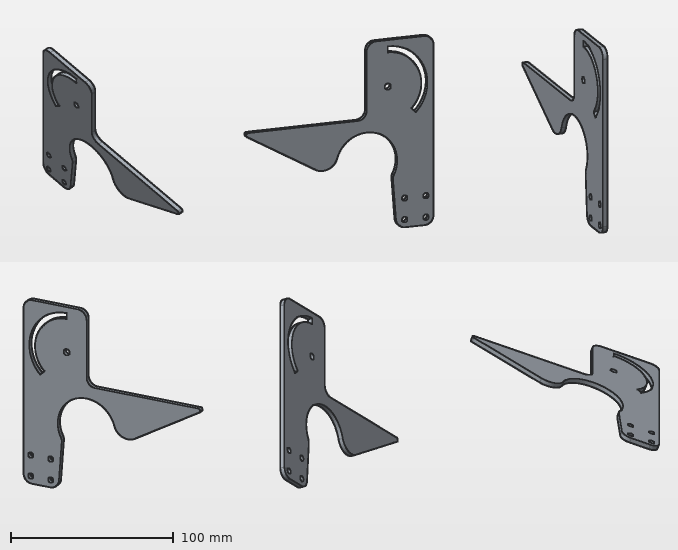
import cadquery as cq
import math

length = 122.9
height = 121.9
thickness = 3.2
corner_radius = 6.0

upright_width = 43.9
foot_width = 24.2
foot_lean = 4.3

arm_top = 71.9
arm_slope = 30.0
tip_radius = 1.5
lobe_radius = 10.0

bite_radius = 20.0
bite_x = upright_width
bite_z = 43.7

pivot_inset = 30.0
pivot_diameter = 4.0
slot_inner_radius = 22.0
slot_outer_radius = 25.9
slot_start = 90.0
slot_end = 225.0

mount_diameter = 3.6
mount_inset = 5.0
mount_pitch = 13.9


def polar(center, radius, degrees):
    """Point at the given radius and angle around a center."""
    angle = math.radians(degrees)
    return (center[0] + radius * math.cos(angle), center[1] + radius * math.sin(angle))


def find_lobe_center(tip_center):
    """Center of the lobe that touches both the bite and the arm's sloping underside."""
    slope = math.radians(arm_slope)
    start = polar(tip_center, lobe_radius - tip_radius, arm_slope + 90)
    dx = start[0] - bite_x
    dz = start[1] - bite_z
    along = dx * math.cos(slope) + dz * math.sin(slope)
    across = dz * math.cos(slope) - dx * math.sin(slope)
    reach = math.sqrt((bite_radius + lobe_radius) ** 2 - across**2)
    return polar(start, reach - along, arm_slope)


def find_foot_corner():
    """Point where the leaning foot side meets the bite."""
    lean = math.radians(foot_lean)
    dx = foot_width - bite_x
    dz = -bite_z
    along = dx * math.sin(lean) + dz * math.cos(lean)
    across = dx * math.cos(lean) - dz * math.sin(lean)
    distance = -along - math.sqrt(bite_radius**2 - across**2)
    return polar((foot_width, 0), distance, 90 - foot_lean)


def make_plate():
    bite_center = (bite_x, bite_z)
    tip_center = (length - tip_radius, arm_top - tip_radius)
    lobe_center = find_lobe_center(tip_center)
    foot_corner = find_foot_corner()
    underside = arm_slope - 90
    lobe_angle = math.degrees(math.atan2(lobe_center[1] - bite_z, lobe_center[0] - bite_x))
    lobe_middle = (lobe_angle - 180 + underside) / 2

    plate = (
        cq.Workplane("XZ")
        .moveTo(0, 0)
        .lineTo(0, height)
        .lineTo(upright_width, height)
        .lineTo(upright_width, arm_top)
        .lineTo(tip_center[0], arm_top)
        .threePointArc(
            polar(tip_center, tip_radius, 0),
            polar(tip_center, tip_radius, underside),
        )
        .lineTo(*polar(lobe_center, lobe_radius, underside))
        .threePointArc(
            polar(lobe_center, lobe_radius, lobe_middle),
            polar(bite_center, bite_radius, lobe_angle),
        )
        .threePointArc(polar(bite_center, bite_radius, 90), foot_corner)
        .lineTo(foot_width, 0)
        .close()
        .extrude(thickness)
    )

    rounded_corners = [
        (0, 0),
        (0, height),
        (upright_width, height),
        (upright_width, arm_top),
        foot_corner,
        (foot_width, 0),
    ]
    for x, z in rounded_corners:
        corner_edge = cq.selectors.NearestToPointSelector((x, -thickness / 2, z))
        plate = plate.edges("|Y").edges(corner_edge).fillet(corner_radius)
    return plate


def make_holes(points, diameter):
    return cq.Workplane("XZ").pushPoints(points).circle(diameter / 2).extrude(thickness)


def make_slot(center):
    middle = (slot_start + slot_end) / 2
    return (
        cq.Workplane("XZ")
        .moveTo(*polar(center, slot_inner_radius, slot_start))
        .lineTo(*polar(center, slot_outer_radius, slot_start))
        .threePointArc(
            polar(center, slot_outer_radius, middle),
            polar(center, slot_outer_radius, slot_end),
        )
        .lineTo(*polar(center, slot_inner_radius, slot_end))
        .threePointArc(
            polar(center, slot_inner_radius, middle),
            polar(center, slot_inner_radius, slot_start),
        )
        .close()
        .extrude(thickness)
    )


pivot = (pivot_inset, height - pivot_inset)
mount_places = (mount_inset, mount_inset + mount_pitch)
mount_points = [(x, z) for x in mount_places for z in mount_places]

result = (
    make_plate()
    .cut(make_slot(pivot))
    .cut(make_holes([pivot], pivot_diameter))
    .cut(make_holes(mount_points, mount_diameter))
)